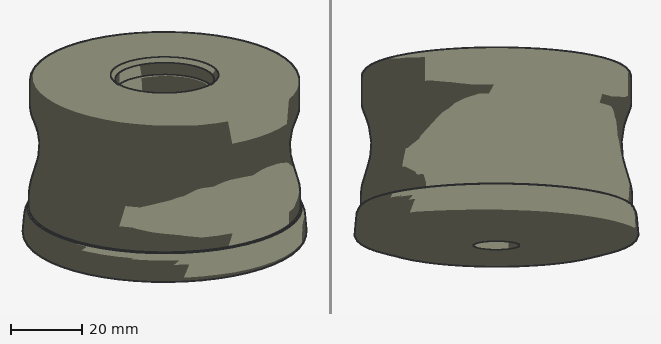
import cadquery as cq
import math

total_height = 50.0
base_height = 10.6

rim_radius = 40.0
rim_round = 1.5
rim_round_height = 3.4
side_draft = 5.0
underside_slope = 17.5
flange_height = 7.3
step_outer_radius = 39.5
step_outer_height = 8.6
step_inner_radius = 39.4
step_inner_height = 8.9
lip_foot_radius = 38.9
lip_foot_height = 10.1
lip_top_radius = 38.7
lip_top_height = 10.4
screw_hole_radius = 6.5
screw_hole_round = 0.5

top_radius = 38.0
top_round = 2.0
lower_wall_radius = 38.2
waist_radius = 35.3
waist_height = 29.0
waist_round = 21.2
shoulder_round = 5.6
hip_round = 10.4
upper_slope = 21.0
lower_slope = 16.5

bore_radius = 13.9
bore_chamfer = 1.3
land_radius = 13.2
land_round = 0.2
land_top_depth = 4.8
land_bottom_depth = 12.0
land_taper_height = 1.2


def arc_point(center, radius, angle):
    """Point on a circle, with the angle in degrees above the outward direction."""
    turn = math.radians(angle)
    return (center[0] + radius * math.cos(turn), center[1] + radius * math.sin(turn))


def revolve_profile(profile):
    """Turn a closed radius/height outline about the Z axis."""
    return profile.close().revolve(360, (0, 0, 0), (0, 1, 0))


def make_base():
    rim_center = (rim_radius - rim_round, rim_round_height)
    rim_low_angle = underside_slope - 90
    rim_bottom = arc_point(rim_center, rim_round, rim_low_angle)
    rim_middle = arc_point(rim_center, rim_round, 0)
    rim_top = arc_point(rim_center, rim_round, side_draft)

    foot_radius = rim_bottom[0] - rim_bottom[1] / math.tan(math.radians(underside_slope))
    flange_rise = flange_height - rim_top[1]
    flange_radius = rim_top[0] - flange_rise * math.tan(math.radians(side_draft))

    hole_round_center = (screw_hole_radius + screw_hole_round, base_height - screw_hole_round)
    hole_round_middle = arc_point(hole_round_center, screw_hole_round, 135)

    profile = (
        cq.Workplane("XZ")
        .moveTo(screw_hole_radius, 0)
        .lineTo(foot_radius, 0)
        .lineTo(*rim_bottom)
        .threePointArc(rim_middle, rim_top)
        .lineTo(flange_radius, flange_height)
        .lineTo(step_outer_radius, step_outer_height)
        .lineTo(step_inner_radius, step_inner_height)
        .lineTo(lip_foot_radius, lip_foot_height)
        .lineTo(lip_top_radius, lip_top_height)
        .lineTo(lower_wall_radius, base_height)
        .lineTo(hole_round_center[0], base_height)
        .threePointArc(hole_round_middle, (screw_hole_radius, hole_round_center[1]))
    )
    return revolve_profile(profile)


def make_grip():
    waist_center = (waist_radius + waist_round, waist_height)
    waist_bottom = arc_point(waist_center, waist_round, 180 + lower_slope)
    waist_middle = arc_point(waist_center, waist_round, 180)
    waist_top = arc_point(waist_center, waist_round, 180 - upper_slope)

    hip_center_radius = lower_wall_radius - hip_round
    hip_end_radius = hip_center_radius + hip_round * math.cos(math.radians(lower_slope))
    lower_cone_height = (hip_end_radius - waist_bottom[0]) / math.tan(math.radians(lower_slope))
    hip_end_height = waist_bottom[1] - lower_cone_height
    hip_center = (hip_center_radius, hip_end_height - hip_round * math.sin(math.radians(lower_slope)))

    shoulder_center_radius = top_radius - shoulder_round
    shoulder_start_radius = shoulder_center_radius + shoulder_round * math.cos(math.radians(upper_slope))
    upper_cone_height = (shoulder_start_radius - waist_top[0]) / math.tan(math.radians(upper_slope))
    shoulder_start_height = waist_top[1] + upper_cone_height
    shoulder_center = (
        shoulder_center_radius,
        shoulder_start_height + shoulder_round * math.sin(math.radians(upper_slope)),
    )

    top_round_center = (top_radius - top_round, total_height - top_round)

    land_top = total_height - land_top_depth
    land_bottom = total_height - land_bottom_depth
    land_round_center = (land_radius + land_round, land_top - land_round)

    profile = (
        cq.Workplane("XZ")
        .moveTo(bore_radius, base_height)
        .lineTo(lower_wall_radius, base_height)
        .lineTo(lower_wall_radius, hip_center[1])
        .threePointArc(arc_point(hip_center, hip_round, lower_slope / 2), (hip_end_radius, hip_end_height))
        .lineTo(*waist_bottom)
        .threePointArc(waist_middle, waist_top)
        .lineTo(shoulder_start_radius, shoulder_start_height)
        .threePointArc(
            arc_point(shoulder_center, shoulder_round, -upper_slope / 2),
            (top_radius, shoulder_center[1]),
        )
        .lineTo(top_radius, top_round_center[1])
        .threePointArc(arc_point(top_round_center, top_round, 45), (top_round_center[0], total_height))
        .lineTo(bore_radius + bore_chamfer, total_height)
        .lineTo(bore_radius, total_height - bore_chamfer)
        .lineTo(bore_radius, land_top)
        .lineTo(land_round_center[0], land_top)
        .threePointArc(
            arc_point(land_round_center, land_round, 135),
            (land_radius, land_round_center[1]),
        )
        .lineTo(land_radius, land_bottom)
        .lineTo(bore_radius, land_bottom - land_taper_height)
    )
    return revolve_profile(profile)


base = make_base()
grip = make_grip()

result = cq.Compound.makeCompound([base.val(), grip.val()])